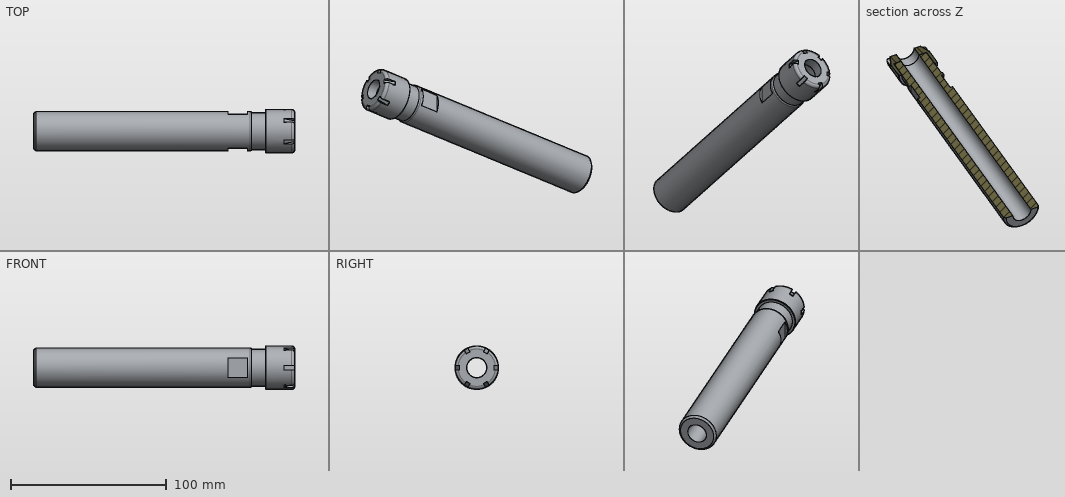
import cadquery as cq

total_length = 167.9
shoulder_x = 140.2
nut_start_x = 149.0
slot_length = 6.9
bore_diameter = 12.8

shank_diameter = 25.4
neck_diameter = 24.0
rear_chamfer = 1.3
shoulder_fillet = 1.0
flat_start_x = 125.0
flat_length = 12.3
across_flats = 22.0

nut_diameter = 28.0
nut_front_fillet = 2.0
nut_rear_chamfer = 0.3
slot_count = 6
slot_width = 2.7
slot_rear_depth = 0.3
slot_front_depth = 3.0
nose_end_x = total_length - slot_length


def cylinder(start_x, end_x, diameter):
    """Solid cylinder along the X axis."""
    return cq.Workplane("YZ", origin=(start_x, 0, 0)).circle(diameter / 2).extrude(end_x - start_x)


def make_holder():
    """Hollow shank with two wrench flats and a reduced neck that enters the nut."""
    shank = cylinder(0, shoulder_x, shank_diameter)
    shank = shank.faces("<X").chamfer(rear_chamfer)
    shank = shank.faces(">X").edges().fillet(shoulder_fillet)

    for side in (-1, 1):
        flat_cut = cq.Workplane("XY").box(flat_length, shank_diameter, shank_diameter).translate(
            (flat_start_x + flat_length / 2, side * (across_flats + shank_diameter) / 2, 0)
        )
        shank = shank.cut(flat_cut)

    neck = cylinder(shoulder_x - shoulder_fillet, nose_end_x, neck_diameter)
    return shank.union(neck).cut(cylinder(0, nose_end_x, bore_diameter))


def make_nut():
    """Round nut with spanner slots around its front rim."""
    nut = cylinder(nut_start_x, total_length, nut_diameter)
    nut = nut.faces(">X").edges().fillet(nut_front_fillet)
    nut = nut.faces("<X").chamfer(nut_rear_chamfer)

    rim_y = -nut_diameter / 2
    clear_y = -nut_diameter
    slot = (
        cq.Workplane("XY")
        .moveTo(nose_end_x, clear_y)
        .lineTo(nose_end_x, rim_y + slot_rear_depth)
        .lineTo(total_length, rim_y + slot_front_depth)
        .lineTo(total_length, clear_y)
        .close()
        .extrude(slot_width / 2, both=True)
    )
    for index in range(slot_count):
        nut = nut.cut(slot.rotate((0, 0, 0), (1, 0, 0), index * 360 / slot_count))

    nut = nut.cut(cylinder(nut_start_x, nose_end_x, neck_diameter))
    return nut.cut(cylinder(nut_start_x, total_length, bore_diameter))


holder = make_holder()
nut = make_nut()

result = cq.Compound.makeCompound([holder.val(), nut.val()])